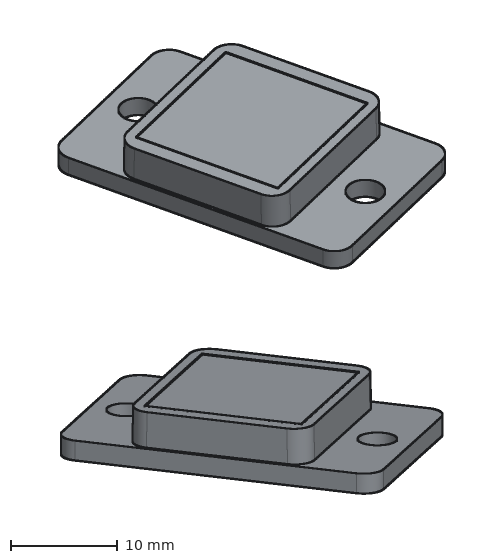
import cadquery as cq

plate_length = 32.0
plate_width = 20.0
plate_thickness = 2.0
corner_radius = 2.0

hole_diameter = 3.7
hole_spacing = 25.0

total_height = 5.5
block_height = total_height - plate_thickness
block_bottom_length = 18.0
block_top_length = 17.85
block_width = 19.33

window_length = 15.6
window_width = 16.0
window_depth = 0.1


def make_plate():
    plate = cq.Workplane("XY").box(
        plate_length, plate_width, plate_thickness, centered=(True, True, False)
    )
    plate = plate.edges("|Z").fillet(corner_radius)
    return (
        plate.faces(">Z").workplane()
        .rarray(hole_spacing, 0.32, 2, 1)
        .hole(hole_diameter)
    )


def make_block():
    half_bottom = block_bottom_length / 2
    half_top = block_top_length / 2
    block = (
        cq.Workplane("XZ", origin=(0, block_width / 2, plate_thickness))
        .moveTo(-half_bottom, 0)
        .lineTo(half_bottom, 0)
        .lineTo(half_top, block_height)
        .lineTo(-half_top, block_height)
        .close()
        .extrude(block_width)
    )
    block = block.edges("not(|X or |Y)").fillet(corner_radius)
    return (
        block.faces(">Z").workplane(centerOption="CenterOfBoundBox")
        .rect(window_length, window_width)
        .cutBlind(-window_depth)
    )


result = make_plate().union(make_block())